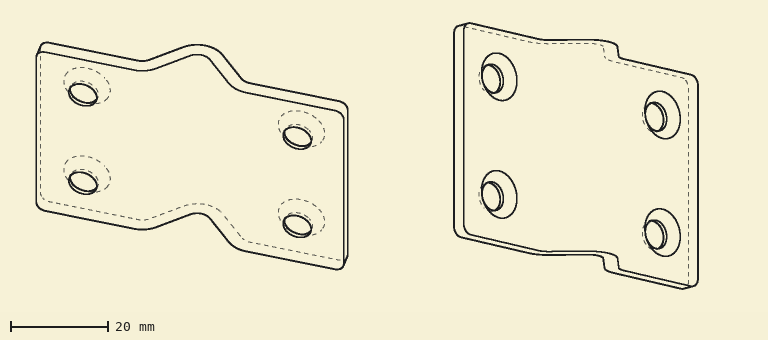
import cadquery as cq
import math

length = 66.0
depth = 11.2
height = 45.0
thickness = 3.0
corner_radius = 2.0

inner_radius = 3.05
outer_radius = inner_radius + thickness
bend_angle = 45.0

hole_diameter = 6.0
countersink_angle = 90.0
countersink_depth = 2.0
hole_spacing_x = 46.0
hole_spacing_z = 25.0

crest_center = (0.0, depth - outer_radius)
foot_center_y = outer_radius
center_gap = outer_radius + inner_radius
slope = math.radians(bend_angle)
rise = foot_center_y - crest_center[1]
foot_center_x = (center_gap - rise * math.cos(slope)) / math.sin(slope)
left_foot = (-foot_center_x, foot_center_y)
right_foot = (foot_center_x, foot_center_y)


def on_bend(center, radius, angle):
    """Point on a bend circle, with the angle in degrees from +X."""
    turn = math.radians(angle)
    return (center[0] + radius * math.cos(turn), center[1] + radius * math.sin(turn))


def add_bend(path, center, radius, start, end):
    """Draw a line to the start of a bend, then follow its arc to the end."""
    middle = (start + end) / 2
    return path.lineTo(*on_bend(center, radius, start)).threePointArc(
        on_bend(center, radius, middle), on_bend(center, radius, end)
    )


def make_bent_sheet():
    """Sheet profile in the XY plane, extruded along Z."""
    down = -90.0
    up = 90.0
    path = cq.Workplane("XY").moveTo(-length / 2, 0)

    path = add_bend(path, left_foot, outer_radius, down, down + bend_angle)
    path = add_bend(path, crest_center, inner_radius, up + bend_angle, up - bend_angle)
    path = add_bend(path, right_foot, outer_radius, down - bend_angle, down)
    path = path.lineTo(length / 2, 0).lineTo(length / 2, thickness)

    path = add_bend(path, right_foot, inner_radius, down, down - bend_angle)
    path = add_bend(path, crest_center, outer_radius, up - bend_angle, up + bend_angle)
    path = add_bend(path, left_foot, inner_radius, down + bend_angle, down)
    path = path.lineTo(-length / 2, thickness).close()

    return path.extrude(height / 2, both=True)


def round_corners(sheet):
    """Round the four outer corners of the two flanges."""
    return sheet.faces("<X or >X").edges("|Y").fillet(corner_radius)


def make_holes():
    """Mounting hole cutters along Y, each with a countersink opening on the +Y face."""
    sink_start = thickness - countersink_depth
    hole_radius = hole_diameter / 2
    sink_radius = hole_radius + countersink_depth * math.tan(math.radians(countersink_angle / 2))
    across = cq.Vector(0, 1, 0)
    cutters = cq.Workplane("XY")
    for x in (-hole_spacing_x / 2, hole_spacing_x / 2):
        for z in (-hole_spacing_z / 2, hole_spacing_z / 2):
            hole = cq.Solid.makeCylinder(hole_radius, thickness, cq.Vector(x, 0, z), across)
            sink_base = cq.Vector(x, sink_start, z)
            sink = cq.Solid.makeCone(hole_radius, sink_radius, countersink_depth, sink_base, across)
            cutters = cutters.add(hole).add(sink)
    return cutters


result = round_corners(make_bent_sheet()).cut(make_holes())